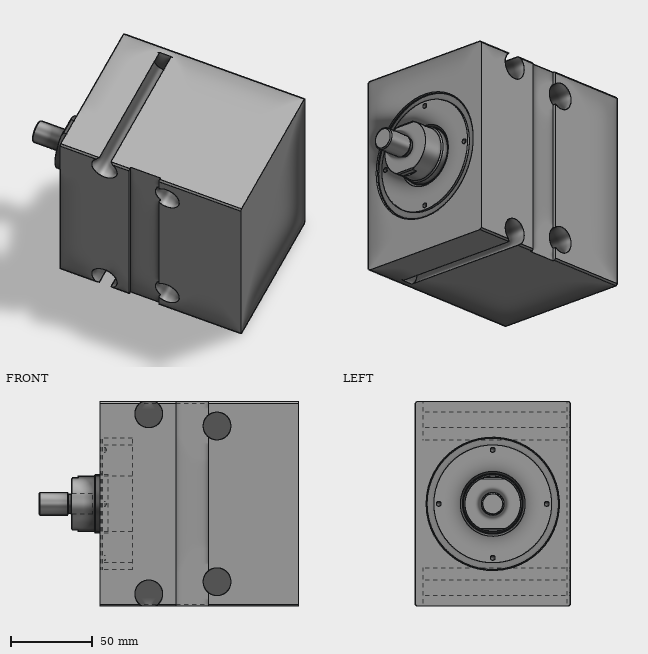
import cadquery as cq
import math


overall_length = 158.5
housing_front = 37.2
housing_width = 95.0
housing_height = 125.0
edge_chamfer = 1.1
housing_length = overall_length - housing_front

keyway_start = 83.5
keyway_width = 20.0
keyway_depth = 2.2

screw_hole_diameter = 17.0
screw_hole_floor = 4.9
front_hole_x = 67.0
front_hole_z = 55.0
rear_hole_x = 108.7
rear_hole_z = 47.5

rod_radius = 17.0
rod_front = 20.0
flat_half_distance = 16.0
flat_length = 4.0
flat_chamfer_drop = 0.87
flat_chamfer_length = 0.6

bore_radius = 40.1
bore_chamfer = 0.6
bore_depth = 20.0
gland_radius = 36.0
ring_recess = 1.6
gland_mouth_radius = 19.8
gland_mouth_depth = 1.3
pin_hole_circle_radius = 33.0
pin_hole_radius = 1.5
pin_hole_depth = 3.2
pin_hole_count = 4
drill_tip_angle = 118.0
bore_end = housing_front + bore_depth

wiper_radius = 17.9
wiper_front = 33.8
wiper_lip_length = 0.8
wiper_seat_depth = 4.8
wiper_end = housing_front + wiper_seat_depth

stud_radius = 7.0
stud_tip_radius = 6.2
stud_neck_radius = 6.0
stud_root_radius = 6.2
stud_tip_chamfer = 0.6
stud_neck_start = 17.3
stud_neck_taper = 0.6
stud_socket_depth = 12.7
stud_end = rod_front + stud_socket_depth


def turned(profile):
    """Revolve a closed outline of (x, radius) points about the X axis."""
    return cq.Workplane("XY").polyline(profile).close().revolve(360, (0, 0, 0), (1, 0, 0))


def disc(radius, start, end):
    """Plain cylinder along the X axis between two X positions."""
    return cq.Workplane("YZ").workplane(offset=start).circle(radius).extrude(end - start)


def screw_hole(x, z):
    """Cutter for one blind hole that enters from the -Y side."""
    length = housing_width - screw_hole_floor
    start = cq.Workplane("XZ", origin=(x, -housing_width / 2, z))
    return start.circle(screw_hole_diameter / 2).extrude(-length)


def make_housing():
    block = cq.Workplane("XY").box(housing_length, housing_width, housing_height)
    block = block.edges("|X").chamfer(edge_chamfer)
    block = block.translate((housing_front + housing_length / 2, 0, 0))

    keyway = cq.Workplane("XY").box(keyway_width, 2 * keyway_depth, housing_height)
    keyway = keyway.translate((keyway_start + keyway_width / 2, -housing_width / 2, 0))
    block = block.cut(keyway)

    for x, z in ((front_hole_x, front_hole_z), (rear_hole_x, rear_hole_z)):
        for side in (1, -1):
            block = block.cut(screw_hole(x, side * z))

    front_bore = turned([
        (housing_front, 0),
        (housing_front, bore_radius + bore_chamfer),
        (housing_front + bore_chamfer, bore_radius),
        (bore_end, bore_radius),
        (bore_end, 0),
    ])
    return block.cut(front_bore)


def make_retaining_ring():
    ring_front = housing_front + ring_recess
    return disc(bore_radius, ring_front, bore_end).cut(disc(gland_radius, ring_front, bore_end))


def pin_hole(angle):
    """Cutter for one drilled hole with a conical bottom in the gland face."""
    tip_length = pin_hole_radius / math.tan(math.radians(drill_tip_angle / 2))
    hole_end = housing_front + pin_hole_depth
    hole = turned([
        (housing_front, 0),
        (housing_front, pin_hole_radius),
        (hole_end, pin_hole_radius),
        (hole_end + tip_length, 0),
    ])
    hole = hole.translate((0, 0, pin_hole_circle_radius))
    return hole.rotate((0, 0, 0), (1, 0, 0), angle)


def make_gland():
    gland = turned([
        (housing_front, gland_mouth_radius),
        (housing_front, gland_radius),
        (bore_end, gland_radius),
        (bore_end, rod_radius),
        (wiper_end, rod_radius),
        (wiper_end, wiper_radius),
        (housing_front + gland_mouth_depth, wiper_radius),
        (housing_front + gland_mouth_depth, gland_mouth_radius - gland_mouth_depth),
    ])
    for index in range(pin_hole_count):
        gland = gland.cut(pin_hole(index * 360 / pin_hole_count))
    return gland


def make_wiper():
    return turned([
        (wiper_front, rod_radius),
        (wiper_front + wiper_lip_length, wiper_radius),
        (wiper_end, wiper_radius),
        (wiper_end, rod_radius),
    ])


def make_rod():
    rod = disc(rod_radius, rod_front, bore_end)
    rod = rod.cut(disc(stud_root_radius, rod_front, stud_end))
    flat_cut = (
        cq.Workplane("XZ")
        .polyline([
            (rod_front, flat_half_distance - flat_chamfer_drop),
            (rod_front + flat_chamfer_length, flat_half_distance),
            (rod_front + flat_length, flat_half_distance),
            (rod_front + flat_length, rod_radius),
            (rod_front, rod_radius),
        ])
        .close()
        .extrude(rod_radius, both=True)
    )
    return rod.cut(flat_cut).cut(flat_cut.mirror("XY"))


def make_stud():
    return turned([
        (0, 0),
        (0, stud_tip_radius),
        (stud_tip_chamfer, stud_radius),
        (stud_neck_start, stud_radius),
        (stud_neck_start + stud_neck_taper, stud_neck_radius),
        (rod_front - stud_neck_taper, stud_neck_radius),
        (rod_front, stud_root_radius),
        (stud_end, stud_root_radius),
        (stud_end, 0),
    ])


housing = make_housing()
retaining_ring = make_retaining_ring()
gland = make_gland()
wiper = make_wiper()
rod = make_rod()
stud = make_stud()

result = cq.Compound.makeCompound([
    housing.val(),
    retaining_ring.val(),
    gland.val(),
    wiper.val(),
    rod.val(),
    stud.val(),
])